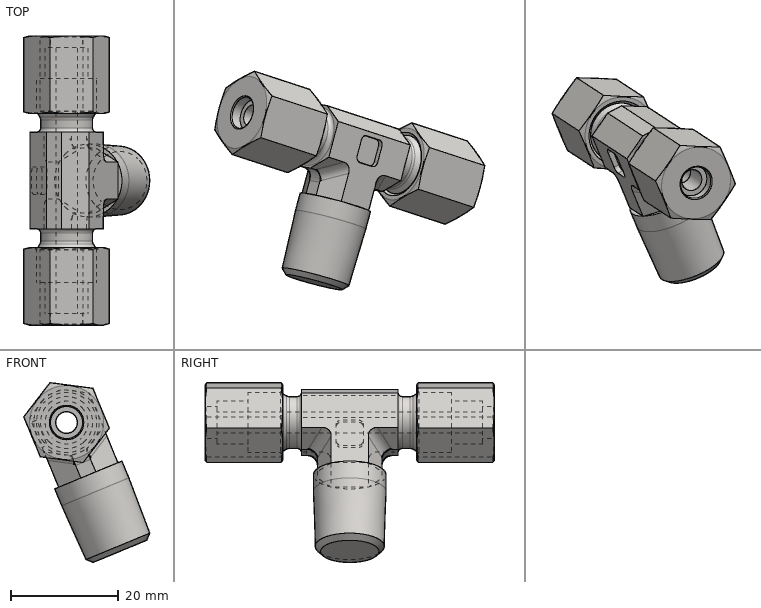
import cadquery as cq
import math

TILT = 22.5
OVERALL_LENGTH = 54.0
END_Y = OVERALL_LENGTH / 2

HEX_SIDES = 6
HALF_SIDE_ANGLE = 180 / HEX_SIDES

BORE_DIA = 4.0
TUBE_DIA = 6.0

BAR_FLATS = 12.0
BAR_TRIM = 12.1
RUN_HALF = 9.0
BRANCH_FILLET = 2.0

THREAD_DIA = 11.25
THREAD_END_Y = 19.0
NECK_DIA = 9.7
ROOT_RADIUS = 0.8
RELIEF_Y = 11.3
RELIEF_RADIUS = 1.1
RELIEF_ANGLE = math.radians(30)

MALE_DIA = 13.6
MALE_START = 10.6
TAPER_START = 14.0
MALE_END = 26.05
MALE_TAPER = 1 / 16
MALE_CHAMFER = 1.0

POCKET_SIDE = 5.15
POCKET_RADIUS = 1.0
POCKET_DEPTH = 1.0

NUT_FLATS = 14.0
NUT_LENGTH = 14.5
NUT_FACE_DIA = 13.8
NUT_CHAMFER = 0.3
NUT_LIP = 2.2
NUT_HOLE_CHAMFER = 0.2
NUT_MOUTH_DIA = 12.2
NUT_FACE_Y = END_Y - NUT_LENGTH

SLEEVE_DIA = 8.0
SLEEVE_END_Y = END_Y - NUT_LIP


def corner_dia(flats):
    """Diameter across the corners of a hexagon."""
    return flats / math.cos(math.radians(HALF_SIDE_ANGLE))


def hex_bar(flats, length):
    """Hexagonal prism along +Z from the origin, flats facing +X and -X."""
    bar = cq.Workplane("XY").polygon(HEX_SIDES, corner_dia(flats)).extrude(length)
    return bar.rotate((0, 0, 0), (0, 0, 1), HALF_SIDE_ANGLE)


def along_run(shape):
    """Turn a shape built along +Z so that it points along +Y."""
    return shape.rotate((0, 0, 0), (1, 0, 0), -90)


def along_branch(shape):
    """Turn a shape built along +Z so that it points along -Z."""
    return shape.rotate((0, 0, 0), (1, 0, 0), 180)


def cylinder(dia, start, end):
    """Round bar along +Y between two stations."""
    return along_run(cq.Workplane("XY").workplane(offset=start).circle(dia / 2).extrude(end - start))


def trimmed_bar(length):
    """Hexagonal bar with the corners on the Y axis cut off flat."""
    limit = cq.Workplane("XY").rect(BAR_FLATS, BAR_TRIM).extrude(length)
    return hex_bar(BAR_FLATS, length).intersect(limit)


def make_crossing():
    """Run and branch bars, with fillets where the branch leaves the run."""
    run = along_run(trimmed_bar(2 * RUN_HALF)).translate((0, -RUN_HALF, 0))
    crossing = run.union(along_branch(trimmed_bar(MALE_START)))
    side_corner = corner_dia(BAR_FLATS) / 4
    reach = BAR_TRIM / 2
    margin = 0.05
    corners = crossing.edges(
        cq.selectors.BoxSelector(
            (-BAR_FLATS, -reach - margin, -reach - margin),
            (BAR_FLATS, reach + margin, -side_corner - margin),
        )
    )
    return corners.fillet(BRANCH_FILLET)


def make_run_end():
    """Threaded end along +Y with a relieved neck, starting on the run's end face."""
    neck = NECK_DIA / 2
    thread = THREAD_DIA / 2
    relief_end_y = RELIEF_Y + RELIEF_RADIUS * math.sin(RELIEF_ANGLE)
    relief_end = neck + RELIEF_RADIUS * (1 - math.cos(RELIEF_ANGLE))
    relief_mid_y = RELIEF_Y + RELIEF_RADIUS * math.sin(RELIEF_ANGLE / 2)
    relief_mid = neck + RELIEF_RADIUS * (1 - math.cos(RELIEF_ANGLE / 2))
    thread_y = relief_end_y + (thread - relief_end) / math.tan(RELIEF_ANGLE)
    return (
        cq.Workplane("XY")
        .moveTo(0, RUN_HALF)
        .lineTo(neck + ROOT_RADIUS, RUN_HALF)
        .radiusArc((neck, RUN_HALF + ROOT_RADIUS), ROOT_RADIUS)
        .lineTo(neck, RELIEF_Y)
        .threePointArc((relief_mid, relief_mid_y), (relief_end, relief_end_y))
        .lineTo(thread, thread_y)
        .lineTo(thread, THREAD_END_Y)
        .lineTo(0, THREAD_END_Y)
        .close()
        .revolve(360, (0, 0, 0), (0, 1, 0))
    )


def make_male_thread():
    """Collar, tapered thread and end chamfer of the branch."""
    collar = MALE_DIA / 2
    chamfer_start = MALE_END - MALE_CHAMFER
    taper_end = collar - (chamfer_start - TAPER_START) * MALE_TAPER / 2
    return (
        cq.Workplane("XZ")
        .moveTo(0, -MALE_START)
        .lineTo(collar, -MALE_START)
        .lineTo(collar, -TAPER_START)
        .lineTo(taper_end, -chamfer_start)
        .lineTo(taper_end - MALE_CHAMFER, -MALE_END)
        .lineTo(0, -MALE_END)
        .close()
        .revolve(360, (0, 0, 0), (0, 1, 0))
    )


def make_badge_pocket():
    """Rounded square recess in the -X flat."""
    return (
        cq.Workplane("YZ", origin=(-BAR_FLATS / 2, 0, 0))
        .rect(POCKET_SIDE, POCKET_SIDE)
        .extrude(POCKET_DEPTH)
        .edges("|X")
        .fillet(POCKET_RADIUS)
    )


def make_tee():
    """Tee body: crossing bars, threaded ends, flow bore along the run and badge pocket."""
    run_end = make_run_end()
    tee = make_crossing().union(make_male_thread())
    tee = tee.union(run_end).union(run_end.mirror("XZ"))
    return tee.cut(cylinder(BORE_DIA, -THREAD_END_Y, THREAD_END_Y)).cut(make_badge_pocket())


def make_nut():
    """Union nut on the +Y end: chamfered hexagon, with a 45 degree countersink at the thread's mouth."""
    face = NUT_FACE_DIA / 2
    corner = corner_dia(NUT_FLATS) / 2
    envelope = (
        cq.Workplane("XY")
        .moveTo(0, NUT_FACE_Y)
        .lineTo(face, NUT_FACE_Y)
        .lineTo(corner, NUT_FACE_Y + NUT_CHAMFER)
        .lineTo(corner, END_Y - NUT_CHAMFER)
        .lineTo(face, END_Y)
        .lineTo(0, END_Y)
        .close()
        .revolve(360, (0, 0, 0), (0, 1, 0))
    )
    nut = along_run(hex_bar(NUT_FLATS, NUT_LENGTH)).translate((0, NUT_FACE_Y, 0)).intersect(envelope)
    mouth = NUT_MOUTH_DIA / 2
    thread = THREAD_DIA / 2
    sleeve = SLEEVE_DIA / 2
    tube = TUBE_DIA / 2
    cavity = (
        cq.Workplane("XY")
        .moveTo(0, NUT_FACE_Y)
        .lineTo(mouth, NUT_FACE_Y)
        .lineTo(thread, NUT_FACE_Y + mouth - thread)
        .lineTo(thread, THREAD_END_Y)
        .lineTo(sleeve, THREAD_END_Y)
        .lineTo(sleeve, SLEEVE_END_Y)
        .lineTo(tube, SLEEVE_END_Y)
        .lineTo(tube, END_Y - NUT_HOLE_CHAMFER)
        .lineTo(tube + NUT_HOLE_CHAMFER, END_Y)
        .lineTo(0, END_Y)
        .close()
        .revolve(360, (0, 0, 0), (0, 1, 0))
    )
    return nut.cut(cavity)


def make_sleeve():
    """Plain ring on the +Y end, seated between the nut's lip and the tee."""
    ring = cylinder(SLEEVE_DIA, THREAD_END_Y, SLEEVE_END_Y)
    return ring.cut(cylinder(BORE_DIA, THREAD_END_Y, SLEEVE_END_Y))


def tilted(shape):
    """Swing the branch from -Z toward +X."""
    return shape.rotate((0, 0, 0), (0, 1, 0), -TILT)


bodies = [tilted(make_tee()).val()]
for make_part in (make_nut, make_sleeve):
    part = make_part()
    for placed in (part, part.mirror("XZ")):
        bodies.append(tilted(placed).val())

result = cq.Compound.makeCompound(bodies)